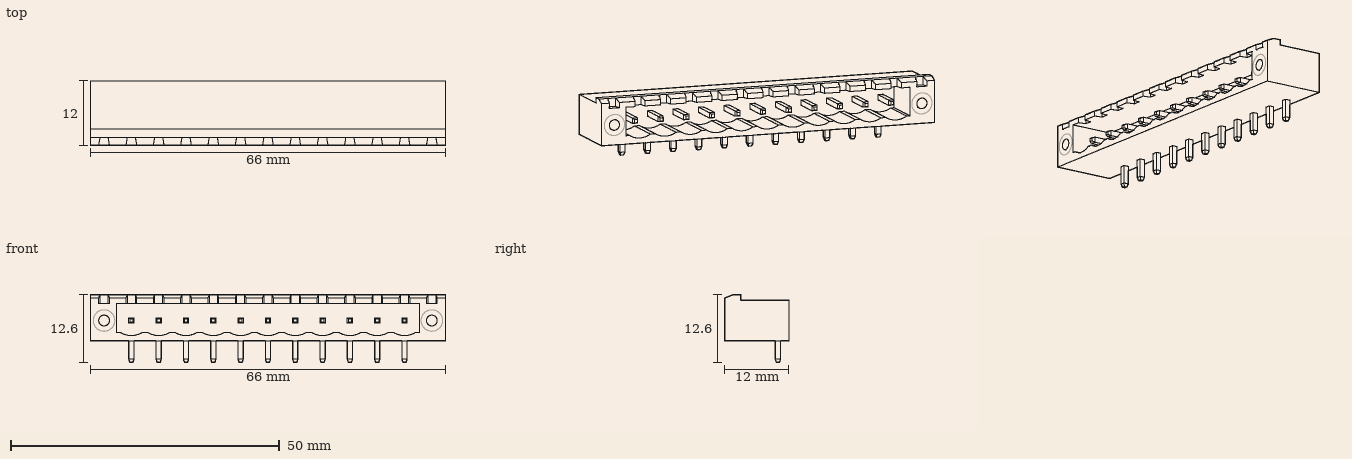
import cadquery as cq


PITCH = 5.08
POLES = 11
LENGTH = (POLES + 2) * PITCH
PIN_X = [(i - (POLES - 1) / 2) * PITCH for i in range(POLES)]
INSERT_X = [-(LENGTH - PITCH) / 2, (LENGTH - PITCH) / 2]
NOTCH_X = [INSERT_X[0]] + PIN_X + [INSERT_X[1]]

DEPTH = 12.0
BODY_HEIGHT = 7.6
LIP_HEIGHT = 8.6
LIP_DEPTH = 3.0
LIP_SLOPE_DEPTH = 1.5
FRONT_HEIGHT = 8.0

POCKET_END_CLEARANCE = 0.2
POCKET_LENGTH = POLES * PITCH + 2 * POCKET_END_CLEARANCE
POCKET_DEPTH = 8.5
POCKET_FLOOR = 1.6
POCKET_CEILING = 7.0
CHANNEL_SAG = 0.6
CHANNEL_WIDTH = 4.1

NOTCH_FRONT_WIDTH = 2.0
NOTCH_BACK_WIDTH = 1.5

INSERT_Z = 3.8
INSERT_DIAMETER = 4.0
INSERT_BORE = 2.0
INSERT_DEPTH = 8.0

PIN_SIZE = 1.0
PIN_TIP_SIZE = 0.6
PIN_TAPER = 0.6
PIN_Z = INSERT_Z
PIN_FRONT_Y = 2.1
PIN_LEG_Y = 9.9
PIN_LEG_LENGTH = 4.0


def make_housing():
    """Stepped block whose raised front lip slopes down to the mating face."""
    section = [
        (0, 0),
        (DEPTH, 0),
        (DEPTH, BODY_HEIGHT),
        (LIP_DEPTH, BODY_HEIGHT),
        (LIP_DEPTH, LIP_HEIGHT),
        (LIP_SLOPE_DEPTH, LIP_HEIGHT),
        (0, FRONT_HEIGHT),
    ]
    return cq.Workplane("YZ").polyline(section).close().extrude(LENGTH / 2, both=True)


def make_pocket():
    """Open-fronted pocket whose floor dips in an arc below every pin."""
    outline = cq.Workplane("XZ").moveTo(-POCKET_LENGTH / 2, POCKET_FLOOR)
    for x in PIN_X:
        outline = outline.lineTo(x - CHANNEL_WIDTH / 2, POCKET_FLOOR)
        outline = outline.threePointArc(
            (x, POCKET_FLOOR - CHANNEL_SAG),
            (x + CHANNEL_WIDTH / 2, POCKET_FLOOR),
        )
    outline = outline.lineTo(POCKET_LENGTH / 2, POCKET_FLOOR)
    outline = outline.lineTo(POCKET_LENGTH / 2, POCKET_CEILING)
    outline = outline.lineTo(-POCKET_LENGTH / 2, POCKET_CEILING)
    return outline.close().extrude(-POCKET_DEPTH)


def make_notch(x):
    """Tapered coding notch through the sloped part of the lip."""
    outline = [
        (x - NOTCH_FRONT_WIDTH / 2, 0),
        (x + NOTCH_FRONT_WIDTH / 2, 0),
        (x + NOTCH_BACK_WIDTH / 2, LIP_SLOPE_DEPTH),
        (x - NOTCH_BACK_WIDTH / 2, LIP_SLOPE_DEPTH),
    ]
    notch = cq.Workplane("XY").workplane(offset=POCKET_CEILING).polyline(outline).close()
    return notch.extrude(LIP_HEIGHT - POCKET_CEILING)


def make_insert_cylinder(x, diameter):
    """Cylinder along an insert axis, starting at the mating face."""
    return cq.Workplane("XZ").center(x, INSERT_Z).circle(diameter / 2).extrude(-INSERT_DEPTH)


def make_insert(x):
    """Bushing that fills its seat around the bore."""
    return make_insert_cylinder(x, INSERT_DIAMETER).cut(make_insert_cylinder(x, INSERT_BORE))


def make_pin_arm(x, plane, end_face, length):
    """Square bar from the bend of a pin along the plane normal, tapered at its free end."""
    bend = (x, PIN_LEG_Y, PIN_Z)
    shaft = cq.Workplane(plane, origin=bend).rect(PIN_SIZE, PIN_SIZE).extrude(length - PIN_TAPER)
    tip = shaft.faces(end_face).workplane().rect(PIN_SIZE, PIN_SIZE)
    tip = tip.workplane(offset=PIN_TAPER).rect(PIN_TIP_SIZE, PIN_TIP_SIZE)
    return tip.loft(combine=True)


def make_pin(x):
    """Contact pin pointing forward into the pocket, with its leg going down to the board."""
    contact = make_pin_arm(x, "XZ", "<Y", PIN_LEG_Y - PIN_FRONT_Y)
    leg = make_pin_arm(x, "YX", "<Z", PIN_Z + PIN_LEG_LENGTH)
    return contact.union(leg)


result = make_housing().cut(make_pocket())
for notch_x in NOTCH_X:
    result = result.cut(make_notch(notch_x))
for pin_x in PIN_X:
    result = result.union(make_pin(pin_x))

for insert_x in INSERT_X:
    result = result.cut(make_insert_cylinder(insert_x, INSERT_DIAMETER))

for insert_x in INSERT_X:
    result = result.union(make_insert(insert_x), clean=False)